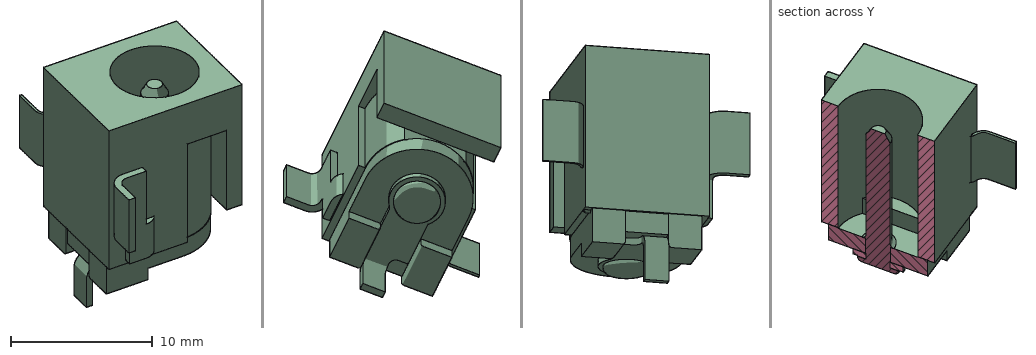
import cadquery as cq
import math

HOUSING_WIDTH = 9.0
HOUSING_FRONT_Y = -6.45
HOUSING_BACK_Y = 4.5
HOUSING_HEIGHT = 12.0
BORE_RADIUS = 3.15
BARREL_RADIUS = 4.0
WINDOW_TOP_Z = 8.5
BACK_WALL_INNER_Y = 3.23
BACK_WALL_BOTTOM_Z = 1.6
LEDGE_Y = -2.1
LEDGE_HEIGHT = 1.5
RIDGE_HEIGHT = 0.18
RIDGE_Y = -5.7
HALF_WIDTH = HOUSING_WIDTH / 2

BASE_RADIUS = 3.96
BASE_THICKNESS = 1.53
BASE_FRONT_Y = -6.34
FOOT_BACK_Y = -2.9
FOOT_BOTTOM_Z = -2.5
FOOT_INNER_X = 1.56
FOOT_CORNER_RADIUS = 0.25
FOOT_RECESS = 0.12

PIN_RADIUS = 0.98
PIN_TIP_RADIUS = 0.56
PIN_TIP_Z = 10.95
PIN_CONE_HEIGHT = 0.75
PIN_FLARE_RADIUS = 0.3
RIVET_RADIUS = 1.66
RIVET_ROUNDING = 0.4

STRAP_THICKNESS = 0.5
TAB_LEFT_X = -0.19
TAB_RIGHT_X = 1.54
STRAP_BEND_RADIUS = 1.1
STRAP_FILLET = 0.54
TAB_FRONT_Y = -6.52
TAB_BOTTOM_Z = -5.07
EYE_RADIUS = 2.0
NECK_LEFT_X = -1.44
STRAP_TOP_Z = -BASE_THICKNESS
STRAP_BOTTOM_Z = STRAP_TOP_Z - STRAP_THICKNESS

SIDE_FOOT_Y = -6.56
LEFT_THICKNESS = 0.2
LEFT_END_X = -7.6
LEFT_BEND_X = -5.45
LEFT_BEND_RADIUS = 0.93
LEFT_BEND_ANGLE = 62.0
LEFT_STRAIGHT_LENGTH = 0.26
LEFT_BOTTOM_Z = 3.19
LEFT_TOP_Z = 7.72

RIGHT_THICKNESS = 0.54
RIGHT_END_X = 7.41
RIGHT_BEND_RADIUS = 1.24
RIGHT_BOTTOM_Z = 3.25
RIGHT_TOP_Z = 7.84
HOOK_BOTTOM_Z = 0.31
HOOK_START_Y = -3.7
HOOK_RADIUS = 1.13
HOOK_FILLET = 0.24


def box(x0, x1, y0, y1, z0, z1):
    """Axis-aligned block between the given limits."""
    return cq.Workplane("XY").box(x1 - x0, y1 - y0, z1 - z0, centered=False).translate((x0, y0, z0))


def cylinder(radius, z0, z1):
    """Cylinder on the jack axis."""
    return cq.Workplane("XY").workplane(offset=z0).circle(radius).extrude(z1 - z0)


def on_circle(center, radius, degrees):
    """Point on a circle, measured counter-clockwise from the first axis."""
    angle = math.radians(degrees)
    return (center[0] + radius * math.cos(angle), center[1] + radius * math.sin(angle))


def make_ridge():
    """Small V-shaped rib, sloped at its outer end, running inward to the base."""
    section = (
        cq.Workplane("YZ", origin=(-HALF_WIDTH, 0, 0))
        .polyline([(RIDGE_Y - RIDGE_HEIGHT, 0), (RIDGE_Y, -RIDGE_HEIGHT), (RIDGE_Y + RIDGE_HEIGHT, 0)])
        .close()
        .extrude(HALF_WIDTH - BASE_RADIUS)
    )
    side = (
        cq.Workplane("XZ", origin=(0, HOUSING_BACK_Y, 0))
        .moveTo(-HALF_WIDTH, 0)
        .lineTo(-HALF_WIDTH + RIDGE_HEIGHT, -RIDGE_HEIGHT)
        .lineTo(-BASE_RADIUS, -RIDGE_HEIGHT)
        .lineTo(-BASE_RADIUS, 0)
        .close()
        .extrude(HOUSING_BACK_Y - HOUSING_FRONT_Y)
    )
    return section.intersect(side)


def make_housing(embedded_terminals):
    """Block with bore, side windows around the barrel, and slots for the side terminals."""
    body = box(-HALF_WIDTH, HALF_WIDTH, HOUSING_FRONT_Y, HOUSING_BACK_Y, 0, HOUSING_HEIGHT)

    windows = box(-HALF_WIDTH, HALF_WIDTH, 0, BACK_WALL_INNER_Y, 0, WINDOW_TOP_Z)
    body = body.cut(windows.cut(cylinder(BARREL_RADIUS, 0, WINDOW_TOP_Z)))
    body = body.cut(
        box(-HALF_WIDTH, HALF_WIDTH, BACK_WALL_INNER_Y, HOUSING_BACK_Y, 0, BACK_WALL_BOTTOM_Z)
    )

    ledge = box(-BORE_RADIUS, BORE_RADIUS, -BORE_RADIUS, LEDGE_Y, 0, LEDGE_HEIGHT)
    body = body.cut(cylinder(BORE_RADIUS, 0, HOUSING_HEIGHT).cut(ledge))
    body = body.union(make_ridge())

    for terminal in embedded_terminals:
        body = body.cut(terminal)
    return body


def make_insulator():
    """Round-backed base plate with two feet at the front and a hole for the pin."""
    plate = cylinder(BASE_RADIUS, -BASE_THICKNESS, 0).union(
        box(-BASE_RADIUS, BASE_RADIUS, BASE_FRONT_Y, 0, -BASE_THICKNESS, 0)
    )
    plate = plate.cut(
        box(-FOOT_INNER_X, FOOT_INNER_X, BASE_FRONT_Y, BASE_FRONT_Y + FOOT_RECESS, -BASE_THICKNESS, 0)
    )
    foot = (
        box(FOOT_INNER_X, BASE_RADIUS, BASE_FRONT_Y, FOOT_BACK_Y, FOOT_BOTTOM_Z, 0)
        .edges("|Y and <X and <Z")
        .fillet(FOOT_CORNER_RADIUS)
    )
    for side_foot in (foot, foot.mirror("YZ")):
        plate = plate.union(side_foot)
    return plate.cut(cylinder(PIN_RADIUS, -BASE_THICKNESS, 0))


def make_pin():
    """Turned pin: rivet head below the strap, flare on the bore floor, conical tip."""
    head_flat_radius = RIVET_RADIUS - RIVET_ROUNDING
    rounding_center = (head_flat_radius, FOOT_BOTTOM_Z + RIVET_ROUNDING)
    flare_center = (PIN_RADIUS + PIN_FLARE_RADIUS, PIN_FLARE_RADIUS)
    return (
        cq.Workplane("XZ")
        .moveTo(0, FOOT_BOTTOM_Z)
        .lineTo(head_flat_radius, FOOT_BOTTOM_Z)
        .threePointArc(
            on_circle(rounding_center, RIVET_ROUNDING, -45),
            on_circle(rounding_center, RIVET_ROUNDING, 0),
        )
        .lineTo(RIVET_RADIUS, STRAP_BOTTOM_Z)
        .lineTo(PIN_RADIUS, STRAP_BOTTOM_Z)
        .lineTo(PIN_RADIUS, 0)
        .lineTo(PIN_RADIUS + PIN_FLARE_RADIUS, 0)
        .threePointArc(
            on_circle(flare_center, PIN_FLARE_RADIUS, 225),
            on_circle(flare_center, PIN_FLARE_RADIUS, 180),
        )
        .lineTo(PIN_RADIUS, PIN_TIP_Z - PIN_CONE_HEIGHT)
        .lineTo(PIN_TIP_RADIUS, PIN_TIP_Z)
        .lineTo(0, PIN_TIP_Z)
        .close()
        .revolve(360, (0, 0, 0), (0, 1, 0))
    )


def make_rear_terminal():
    """Eye around the pin, wide neck along the base, and a narrower tab bent down at the front."""
    bend_center = (TAB_FRONT_Y + STRAP_BEND_RADIUS, STRAP_TOP_Z - STRAP_BEND_RADIUS)
    inner_radius = STRAP_BEND_RADIUS - STRAP_THICKNESS
    strap = (
        cq.Workplane("YZ", origin=(TAB_LEFT_X, 0, 0))
        .moveTo(0, STRAP_TOP_Z)
        .lineTo(bend_center[0], STRAP_TOP_Z)
        .threePointArc(
            on_circle(bend_center, STRAP_BEND_RADIUS, 135),
            on_circle(bend_center, STRAP_BEND_RADIUS, 180),
        )
        .lineTo(TAB_FRONT_Y, TAB_BOTTOM_Z)
        .lineTo(TAB_FRONT_Y + STRAP_THICKNESS, TAB_BOTTOM_Z)
        .lineTo(TAB_FRONT_Y + STRAP_THICKNESS, bend_center[1])
        .threePointArc(
            on_circle(bend_center, inner_radius, 135),
            on_circle(bend_center, inner_radius, 90),
        )
        .lineTo(0, STRAP_BOTTOM_Z)
        .close()
        .extrude(TAB_RIGHT_X - TAB_LEFT_X)
    )
    neck_front_y = bend_center[0] + STRAP_FILLET
    eye = cylinder(EYE_RADIUS, STRAP_BOTTOM_Z, STRAP_TOP_Z)
    neck = box(NECK_LEFT_X, TAB_RIGHT_X, neck_front_y, 0, STRAP_BOTTOM_Z, STRAP_TOP_Z)

    fillet_center = (TAB_LEFT_X - STRAP_FILLET, neck_front_y - STRAP_FILLET)
    web = (
        cq.Workplane("XY", origin=(0, 0, STRAP_BOTTOM_Z))
        .moveTo(TAB_LEFT_X, neck_front_y)
        .lineTo(*on_circle(fillet_center, STRAP_FILLET, 90))
        .threePointArc(
            on_circle(fillet_center, STRAP_FILLET, 45),
            on_circle(fillet_center, STRAP_FILLET, 0),
        )
        .close()
        .extrude(STRAP_THICKNESS)
    )
    return strap.union(eye).union(neck).union(web).cut(cylinder(PIN_RADIUS, STRAP_BOTTOM_Z, STRAP_TOP_Z))


def make_left_terminal():
    """Thin strip: flat soldering foot, then an S-bend running up into the housing wall."""
    convex = LEFT_BEND_RADIUS
    concave = LEFT_BEND_RADIUS - LEFT_THICKNESS
    foot_center = (LEFT_BEND_X, SIDE_FOOT_Y + convex)
    slope_start = LEFT_BEND_ANGLE - 90
    foot_middle = LEFT_BEND_ANGLE / 2 - 90
    wall_middle = LEFT_BEND_ANGLE / 2 + 90

    slope_center = on_circle(foot_center, convex + concave, slope_start)
    wall_center = on_circle(slope_center, LEFT_STRAIGHT_LENGTH, LEFT_BEND_ANGLE)
    slope_end = LEFT_BEND_ANGLE + 90
    return (
        cq.Workplane("XY", origin=(0, 0, LEFT_BOTTOM_Z))
        .moveTo(LEFT_END_X, SIDE_FOOT_Y)
        .lineTo(LEFT_BEND_X, SIDE_FOOT_Y)
        .threePointArc(
            on_circle(foot_center, convex, foot_middle),
            on_circle(foot_center, convex, slope_start),
        )
        .lineTo(*on_circle(wall_center, concave, slope_end))
        .threePointArc(
            on_circle(wall_center, concave, wall_middle),
            on_circle(wall_center, concave, 90),
        )
        .lineTo(*on_circle(wall_center, convex, 90))
        .threePointArc(
            on_circle(wall_center, convex, wall_middle),
            on_circle(wall_center, convex, slope_end),
        )
        .lineTo(*on_circle(foot_center, concave, slope_start))
        .threePointArc(
            on_circle(foot_center, concave, foot_middle),
            on_circle(foot_center, concave, -90),
        )
        .lineTo(LEFT_END_X, SIDE_FOOT_Y + LEFT_THICKNESS)
        .close()
        .extrude(LEFT_TOP_Z - LEFT_BOTTOM_Z)
    )


def make_right_terminal():
    """Foot and wall plate, with a lower leaf that hooks into the housing wall."""
    inner_x = HALF_WIDTH
    outer_x = HALF_WIDTH + RIGHT_THICKNESS
    foot_center = (inner_x + RIGHT_BEND_RADIUS, SIDE_FOOT_Y + RIGHT_BEND_RADIUS)
    foot_inner_radius = RIGHT_BEND_RADIUS - RIGHT_THICKNESS
    plate = (
        cq.Workplane("XY", origin=(0, 0, RIGHT_BOTTOM_Z))
        .moveTo(inner_x, HOOK_START_Y)
        .lineTo(inner_x, foot_center[1])
        .threePointArc(
            on_circle(foot_center, RIGHT_BEND_RADIUS, 225),
            on_circle(foot_center, RIGHT_BEND_RADIUS, 270),
        )
        .lineTo(RIGHT_END_X, SIDE_FOOT_Y)
        .lineTo(RIGHT_END_X, SIDE_FOOT_Y + RIGHT_THICKNESS)
        .lineTo(foot_center[0], SIDE_FOOT_Y + RIGHT_THICKNESS)
        .threePointArc(
            on_circle(foot_center, foot_inner_radius, 225),
            on_circle(foot_center, foot_inner_radius, 180),
        )
        .lineTo(outer_x, HOOK_START_Y)
        .close()
        .extrude(RIGHT_TOP_Z - RIGHT_BOTTOM_Z)
    )

    leaf_front_y = foot_center[1] + HOOK_FILLET
    hook_center = (outer_x - HOOK_RADIUS, HOOK_START_Y)
    hook_inner_radius = HOOK_RADIUS - RIGHT_THICKNESS
    leaf = (
        cq.Workplane("XY", origin=(0, 0, HOOK_BOTTOM_Z))
        .moveTo(inner_x, leaf_front_y)
        .lineTo(outer_x, leaf_front_y)
        .lineTo(outer_x, HOOK_START_Y)
        .threePointArc(
            on_circle(hook_center, HOOK_RADIUS, 45),
            on_circle(hook_center, HOOK_RADIUS, 90),
        )
        .lineTo(*on_circle(hook_center, hook_inner_radius, 90))
        .threePointArc(
            on_circle(hook_center, hook_inner_radius, 45),
            on_circle(hook_center, hook_inner_radius, 0),
        )
        .close()
        .extrude(RIGHT_BOTTOM_Z - HOOK_BOTTOM_Z)
    )

    fillet_center = (leaf_front_y - HOOK_FILLET, RIGHT_BOTTOM_Z - HOOK_FILLET)
    web = (
        cq.Workplane("YZ", origin=(inner_x, 0, 0))
        .moveTo(leaf_front_y, RIGHT_BOTTOM_Z)
        .lineTo(*on_circle(fillet_center, HOOK_FILLET, 90))
        .threePointArc(
            on_circle(fillet_center, HOOK_FILLET, 45),
            on_circle(fillet_center, HOOK_FILLET, 0),
        )
        .close()
        .extrude(RIGHT_THICKNESS)
    )
    return plate.union(leaf).union(web)


left_terminal = make_left_terminal()
right_terminal = make_right_terminal()
housing = make_housing([left_terminal, right_terminal])
insulator = make_insulator()
pin = make_pin()
rear_terminal = make_rear_terminal()

bodies = [housing, insulator, pin, rear_terminal, left_terminal, right_terminal]
result = cq.Compound.makeCompound([body.solids().val() for body in bodies])